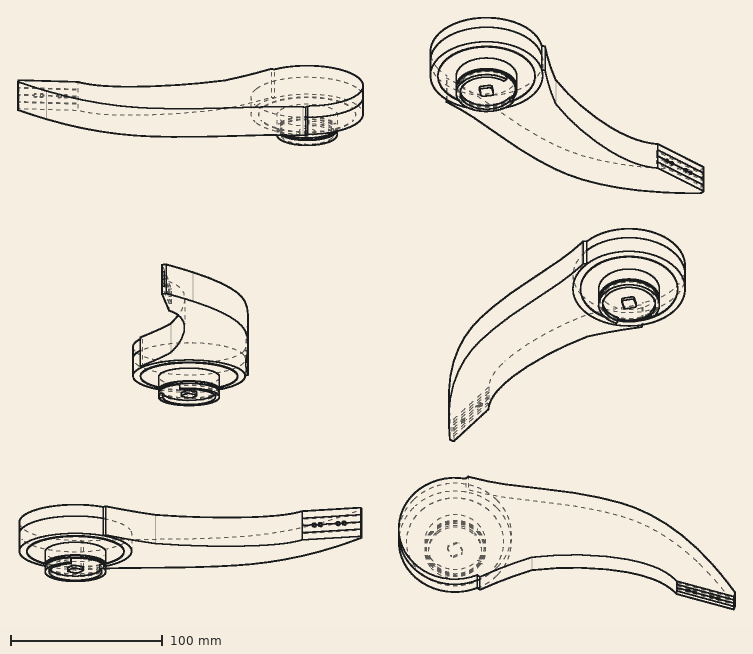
import cadquery as cq
import math


arm_thickness = 20.0
head_radius = 37.0
roof_thickness = 8.0
disc_thickness = arm_thickness - roof_thickness

left_step_inner = (-head_radius, 0.0)
left_step_outer = (-39.0, -1.0)
neck_waist = (-38.6, -18.0)
neck_end = (-39.5, -38.0)
jaw_heel = (-93.6, -118.6)
jaw_toe = (-118.88, -148.5)
tip = (-116.7, -150.6)
back_tangent_end = (-92.2, -145.2)
right_step_y = -21.0
right_step_inner = (math.sqrt(head_radius**2 - right_step_y**2), right_step_y)
right_step_outer = (31.2, -23.3)
back_start = (29.9, -24.7)

inner_curve = [(-46.7, -58.9), (-57.0, -80.5), (-71.7, -102.5), (-82.1, -112.6), jaw_heel]
tip_curve_middle = (-104.6, -148.2)
back_curve = [(-68.9, -137.2), (-48.6, -126.5), (-33.5, -114.8), (-19.2, -98.7),
              (-6.7, -81.1), (12.8, -48.8), back_start]

plate_height = 5.0
plate_depth = 1.5
plate_count = 2
plate_stack_bottom = (arm_thickness - plate_count * plate_height) / 2
jaw_hole_diameter = 2.2
jaw_hole_offsets = [8.0, 12.0, 24.0, 28.0]
jaw_length = math.dist(jaw_heel, jaw_toe)
jaw_angle = math.degrees(math.atan2(jaw_toe[1] - jaw_heel[1], jaw_toe[0] - jaw_heel[0]))
jaw_overrun = 2.0

total_height = 34.38
spindle_bottom = arm_thickness - total_height
flange_radius = 32.0
flange_thickness = 0.5
spindle_radius = 20.0
groove_radius = 19.0
groove_width = 1.6
lip_thickness = 0.6
ring_height = 2.9
ring_inner_radius = 17.4
ring_gap_half_angle = 38.5
lip_bottom = spindle_bottom + ring_height
groove_bottom = lip_bottom + lip_thickness
groove_top = groove_bottom + groove_width

stem_width = 8.4
stem_length = 2.0
stem_corner_radius = 1.6


def cylinder(radius, bottom, top):
    return cq.Workplane("XY").workplane(offset=bottom).circle(radius).extrude(top - bottom)


def arm_blank():
    return (
        cq.Workplane("XY")
        .moveTo(*left_step_inner)
        .lineTo(*left_step_outer)
        .threePointArc(neck_waist, neck_end)
        .spline(inner_curve, includeCurrent=True)
        .lineTo(*jaw_toe)
        .lineTo(*tip)
        .threePointArc(tip_curve_middle, back_tangent_end)
        .spline(back_curve, includeCurrent=True)
        .lineTo(*right_step_outer)
        .lineTo(*right_step_inner)
        .threePointArc((0, head_radius), left_step_inner)
        .close()
        .extrude(arm_thickness)
    )


def jaw_bar(bottom, height):
    """Bar along the jaw face: starts at the heel and reaches plate_depth into the arm."""
    return (
        cq.Workplane("XY")
        .box(jaw_length + jaw_overrun, plate_depth, height, centered=False)
        .rotate((0, 0, 0), (0, 0, 1), jaw_angle)
        .translate((jaw_heel[0], jaw_heel[1], bottom))
    )


def jaw_holes():
    """Holes square to the jaw face, centred on the joint between the plates."""
    return (
        cq.Workplane("XZ")
        .pushPoints([(offset, 0) for offset in jaw_hole_offsets])
        .circle(jaw_hole_diameter / 2)
        .extrude(-plate_depth)
        .rotate((0, 0, 0), (0, 0, 1), jaw_angle)
        .translate((jaw_heel[0], jaw_heel[1], arm_thickness / 2))
    )


def make_arm():
    disc_recess = cylinder(head_radius, 0, disc_thickness)
    plate_recess = jaw_bar(plate_stack_bottom, plate_count * plate_height)
    return arm_blank().cut(disc_recess).cut(plate_recess)


def make_head_disc():
    return cylinder(head_radius, 0, disc_thickness)


def make_jaw_plate(bottom):
    return jaw_bar(bottom, plate_height).intersect(arm_blank()).cut(jaw_holes())


def make_spindle():
    flange = cylinder(flange_radius, -flange_thickness, 0)
    barrel = cylinder(spindle_radius, groove_top, -flange_thickness)
    groove_core = cylinder(groove_radius, groove_bottom, groove_top)
    lip = cylinder(spindle_radius, lip_bottom, groove_bottom)
    ring = cylinder(spindle_radius, spindle_bottom, lip_bottom)
    ring = ring.cut(cylinder(ring_inner_radius, spindle_bottom, lip_bottom))

    wedge_x = -2 * spindle_radius
    wedge_y = -wedge_x * math.tan(math.radians(ring_gap_half_angle))
    gap = (
        cq.Workplane("XY")
        .workplane(offset=spindle_bottom)
        .polyline([(0, 0), (wedge_x, wedge_y), (wedge_x, -wedge_y)])
        .close()
        .extrude(ring_height)
    )
    return flange.union(barrel).union(groove_core).union(lip).union(ring.cut(gap))


def make_stem():
    return (
        cq.Workplane("XY")
        .workplane(offset=lip_bottom)
        .rect(stem_width, stem_width)
        .extrude(-stem_length)
        .edges("|Z")
        .fillet(stem_corner_radius)
    )


arm = make_arm()
head_disc = make_head_disc()
spindle = make_spindle()
stem = make_stem()
jaw_plates = [make_jaw_plate(plate_stack_bottom + i * plate_height) for i in range(plate_count)]

bodies = [arm, head_disc, spindle, stem, *jaw_plates]
result = cq.Compound.makeCompound([body.solids().val() for body in bodies])